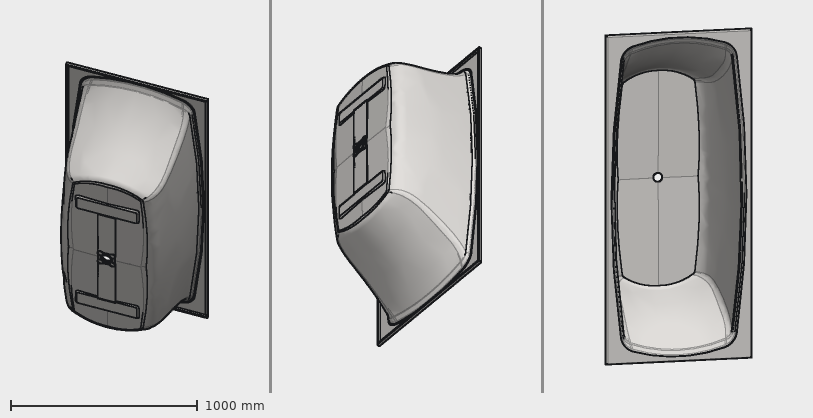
import cadquery as cq
import math

loft = cq.occ_impl.shapes.loft


LENGTH = 1800.0
WIDTH = 800.0
TOTAL_DEPTH = 522.0
RIM_HEIGHT = 20.0
RIM_SHEET = 7.0
LIP_WALL = 10.0
LIP_ROUND = 7.0

WALL = 7.0
FLOOR_DEPTH = 517.0
FLOOR_FALL = 0.022
FLOOR_TIP = 2.0
FLARE_SECTIONS = [
    (RIM_SHEET, 378.0, 317.0, 820.0, 880.0, 99.0),
    (RIM_SHEET + 5.0, 369.0, 310.0, 810.0, 871.0, 86.0),
    (RIM_SHEET + 22.0, 355.0, 299.0, 783.0, 845.0, 58.0),
]
BOWL_SECTIONS = [
    FLARE_SECTIONS[-1],
    (144.0, 340.0, 295.0, 673.0, 752.0, 50.0),
    (243.0, 325.0, 288.0, 620.0, 698.0, 47.0),
    (351.0, 308.0, 277.0, 572.0, 653.0, 40.0),
    (432.0, 288.0, 255.0, 549.0, 628.0, 36.0),
    (477.0, 266.0, 227.0, 540.0, 614.0, 29.0),
    (502.0, 234.0, 182.0, 527.0, 581.0, 18.0),
    (522.0, 165.0, 126.0, 468.0, 525.0, 10.0),
]

PAD_INNER = 350.0
PAD_OUTER = 435.0
PAD_WIDTH = 338.0
PAD_CORNER = 22.0
PAD_DEPTH = 513.0
PAD_TAPER = 50
PAD_ROOT = 10.0
STRIP_WIDTH = 99.0
STRIP_DEPTH = 518.0
DRAIN_DEPTH = 520.0
DRAIN_SEAT = 86.0
LUG_SPACING = 68.0
LUG_DIAMETER = 32.0
RECESS_DIAMETER = 65.0
RECESS_DEPTH = 517.0
DRAIN_HOLE = 49.0


def at_depth(depth):
    """Workplane at the given depth, facing away from the rim (local x = X, local y = Z)."""
    return cq.Workplane("XZ", origin=(0, -depth, 0))


def section_wire(section, inset):
    """Closed outline of bowed sides and ends with rounded corners."""
    depth, side, corner_x, corner_z, end, radius = section
    side -= inset
    corner_x -= inset
    corner_z -= inset
    end -= inset
    wire = (
        at_depth(depth)
        .moveTo(corner_x, -corner_z)
        .threePointArc((side, 0), (corner_x, corner_z))
        .threePointArc((0, end), (-corner_x, corner_z))
        .threePointArc((-side, 0), (-corner_x, -corner_z))
        .threePointArc((0, -end), (corner_x, -corner_z))
        .close()
        .val()
    )
    return wire.fillet2D(radius, wire.Vertices())


def diamond(plane, reach):
    """Square outline with its corners on the X and Z axes."""
    return plane.polyline([(reach, 0), (0, reach), (-reach, 0), (0, -reach)]).close().val()


def floor_limit(depth):
    """Block ending in a shallow four-sided point at the given depth, creased along X and Z."""
    reach = LENGTH
    top = diamond(at_depth(0), reach)
    base = diamond(at_depth(depth - FLOOR_FALL * reach), reach)
    point = diamond(at_depth(depth), FLOOR_TIP)
    return cq.Workplane(cq.Solid.makeLoft([top, base, point], True))


def bowl(inset):
    """Smooth solid through the bowl sections, drawn in by the inset and ended by the sloping floor."""
    wires = [section_wire(section, inset) for section in BOWL_SECTIONS]
    body = loft(wires, cap=True, parametrization="chordal", degree=3)
    return cq.Workplane(body).intersect(floor_limit(FLOOR_DEPTH - inset))


def rim():
    """Flat flange with a lip turned down around its edge."""
    plate = at_depth(0).rect(WIDTH, LENGTH).extrude(RIM_HEIGHT).faces(">Y").edges().fillet(LIP_ROUND)
    recess = (
        at_depth(RIM_SHEET)
        .rect(WIDTH - 2 * LIP_WALL, LENGTH - 2 * LIP_WALL)
        .extrude(RIM_HEIGHT)
    )
    return plate.cut(recess)


def flare(inset):
    """Widening transition from the flange into the bowl, with a straight mouth through the flange."""
    wires = [section_wire(section, inset) for section in FLARE_SECTIONS]
    blend = cq.Workplane(cq.Solid.makeLoft(wires, True))
    mouth = cq.Workplane(cq.Solid.extrudeLinear(wires[0], [], cq.Vector(0, RIM_SHEET, 0)))
    return blend.union(mouth)


def floor_pads():
    """Two flat pads with sloping sides, standing out of the floor at its ends."""
    pad_middle = (PAD_INNER + PAD_OUTER) / 2
    base_depth = PAD_DEPTH - PAD_ROOT
    spread = 2 * PAD_ROOT * math.tan(math.radians(PAD_TAPER))
    centres = [(0, -pad_middle), (0, pad_middle)]
    outline = (
        cq.Sketch()
        .rect(PAD_WIDTH + spread, PAD_OUTER - PAD_INNER + spread)
        .vertices().fillet(PAD_CORNER)
    )
    return at_depth(base_depth).pushPoints(centres).placeSketch(outline).extrude(PAD_ROOT, taper=PAD_TAPER)


def floor_strip():
    """Level strip joining the pads to the drain."""
    base_depth = STRIP_DEPTH - PAD_ROOT
    return at_depth(base_depth).rect(STRIP_WIDTH, 2 * PAD_INNER).extrude(PAD_ROOT)


def drain():
    """Square seat with a round lug at each corner and a shallow round recess."""
    base_depth = FLOOR_DEPTH - PAD_ROOT
    seat = at_depth(base_depth).rect(DRAIN_SEAT, DRAIN_SEAT).extrude(DRAIN_DEPTH - base_depth)
    lugs = (
        at_depth(base_depth)
        .rect(LUG_SPACING, LUG_SPACING, forConstruction=True)
        .vertices()
        .circle(LUG_DIAMETER / 2)
        .extrude(TOTAL_DEPTH - base_depth)
    )
    recess = at_depth(RECESS_DEPTH).circle(RECESS_DIAMETER / 2).extrude(TOTAL_DEPTH - RECESS_DEPTH)
    return seat.union(lugs).cut(recess)


shell = rim().union(flare(0)).union(bowl(0))
shell = shell.union(floor_pads()).union(floor_strip()).union(drain())
shell = shell.cut(bowl(WALL)).cut(flare(WALL))
drain_hole = at_depth(0).circle(DRAIN_HOLE / 2).extrude(TOTAL_DEPTH)
result = shell.cut(drain_hole)